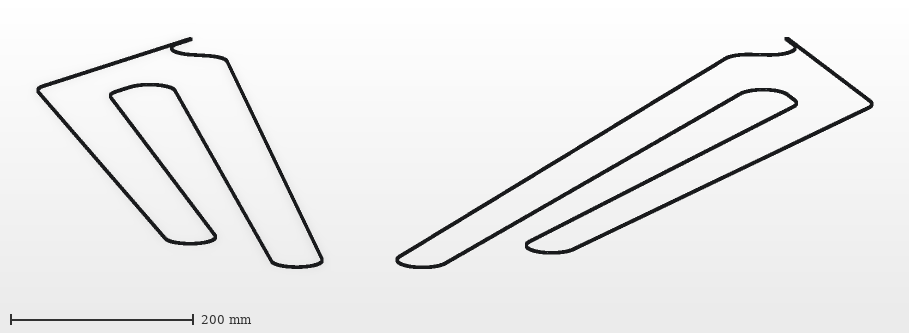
import cadquery as cq
import math

LENGTH = 700.0
WIDTH = 658.0

STRIP_THICKNESS = 1.0
STRIP_HEIGHT = 2.0
BEND_RADIUS = 28.0
END_SPACING = 2.0

half_thickness = STRIP_THICKNESS / 2
edge_inset = half_thickness + BEND_RADIUS

LEFT = 1
RIGHT = -1

CORNER_Y = 406.0
SHORT_LOOP_X = 520.0
INNER_X = 104.0
INNER_LOW_Y = 439.0
INNER_HIGH_Y = 463.0
CREST_X = 72.0
CREST_Y = 591.5
DIP_Y = 633.5

first_end_x = half_thickness
second_end_x = first_end_x + END_SPACING

bends = [
    (first_end_x + BEND_RADIUS, CORNER_Y, LEFT),
    (SHORT_LOOP_X, edge_inset, LEFT),
    (INNER_X, INNER_LOW_Y, RIGHT),
    (INNER_X, INNER_HIGH_Y, RIGHT),
    (LENGTH - edge_inset, edge_inset, LEFT),
    (CREST_X, CREST_Y, LEFT),
    (second_end_x + BEND_RADIUS, DIP_Y, RIGHT),
]


def tangent_heading(bend, following):
    """Direction of the straight run that joins two bends."""
    dx = following[0] - bend[0]
    dy = following[1] - bend[1]
    heading = math.atan2(dy, dx)
    side_shift = BEND_RADIUS * (bend[2] - following[2])
    return heading + math.asin(side_shift / math.hypot(dx, dy))


def point_on_bend(bend, heading):
    """Point of the bend where the strip runs along the given heading."""
    x, y, turn = bend
    return (
        x + turn * BEND_RADIUS * math.sin(heading),
        y - turn * BEND_RADIUS * math.cos(heading),
    )


def strip_centreline():
    """Tangent arcs and straight runs, from the first strip end to the second."""
    headings = [-math.pi / 2]
    headings += [tangent_heading(a, b) for a, b in zip(bends, bends[1:])]
    headings += [math.pi / 2]

    path = cq.Workplane("XY").moveTo(first_end_x, WIDTH)
    for bend, arriving, leaving in zip(bends, headings, headings[1:]):
        turn = bend[2]
        swept_angle = turn * ((turn * (leaving - arriving)) % (2 * math.pi))
        path = path.lineTo(*point_on_bend(bend, arriving))
        path = path.threePointArc(
            point_on_bend(bend, arriving + swept_angle / 2),
            point_on_bend(bend, leaving),
        )
    return path.lineTo(second_end_x, WIDTH)


section = cq.Workplane("XZ", origin=(first_end_x, WIDTH, 0)).rect(STRIP_THICKNESS, STRIP_HEIGHT)
result = section.sweep(strip_centreline())